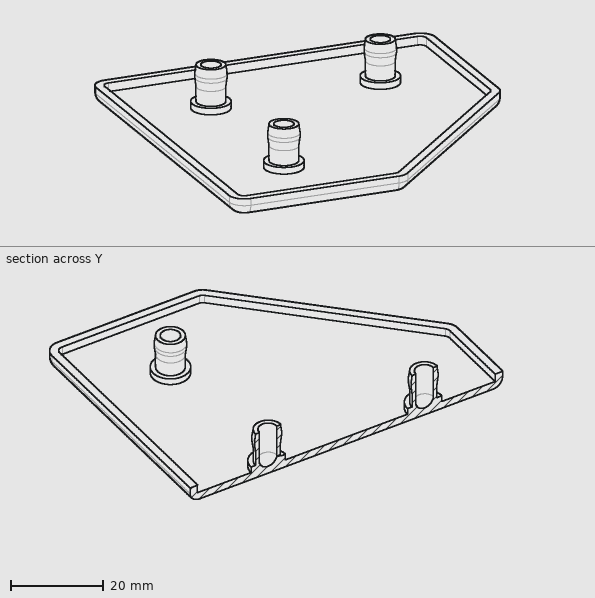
import cadquery as cq

side = 80.0
corner_cut = side / 2
tray_height = 4.0
wall = 2.0
floor = 2.0
corner_radius = 3.5
bottom_radius = 2.5

total_height = 12.0
pin_inset = side / 4
pin_pitch = side / 2
pin_diameter = 6.5
pin_radius = pin_diameter / 2
barb_radius = 3.5
barb_taper = 2.0
barb_land = 1.0
flange_radius = 4.4
flange_height = 1.5
bore_radius = 2.2
bore_bottom = floor


def make_plate():
    """Solid square plate with one corner cut off and all upright edges rounded."""
    kept = side - corner_cut
    outline = [(0, 0), (side, 0), (side, kept), (kept, side), (0, side)]
    plate = cq.Workplane("XY").polyline(outline).close().extrude(tray_height)
    return plate.edges("|Z").fillet(corner_radius)


def make_tray():
    """Shallow tray with a rounded underside and an even rim."""
    plate = make_plate()
    rim_opening = plate.faces(">Z").wires().toPending().workplane().offset2D(-wall)
    pocket = rim_opening.extrude(floor - tray_height, combine=False)
    return plate.faces("<Z").edges().fillet(bottom_radius).cut(pocket)


def make_pin():
    """Pin turned about Z, with a foot flange and a barb near its tip."""
    land_top = total_height - barb_taper
    land_bottom = land_top - barb_land
    flange_top = floor + flange_height
    profile = [
        (0, floor),
        (flange_radius, floor),
        (flange_radius, flange_top),
        (pin_radius, flange_top),
        (pin_radius, land_bottom - barb_taper),
        (barb_radius, land_bottom),
        (barb_radius, land_top),
        (pin_radius, total_height),
        (0, total_height),
    ]
    return cq.Workplane("XZ").polyline(profile).close().revolve(360, (0, 0), (0, 1))


def make_bore():
    """Blind bore with a hemispherical end."""
    sphere_centre = bore_bottom + bore_radius
    return (
        cq.Workplane("XZ")
        .moveTo(0, bore_bottom)
        .radiusArc((bore_radius, sphere_centre), -bore_radius)
        .lineTo(bore_radius, total_height)
        .lineTo(0, total_height)
        .close()
        .revolve(360, (0, 0), (0, 1))
    )


far = pin_inset + pin_pitch
pin_places = [(pin_inset, pin_inset), (far, pin_inset), (pin_inset, far)]

result = make_tray()
hollow_pin = make_pin().cut(make_bore())
for x, y in pin_places:
    result = result.union(hollow_pin.translate((x, y, 0)))